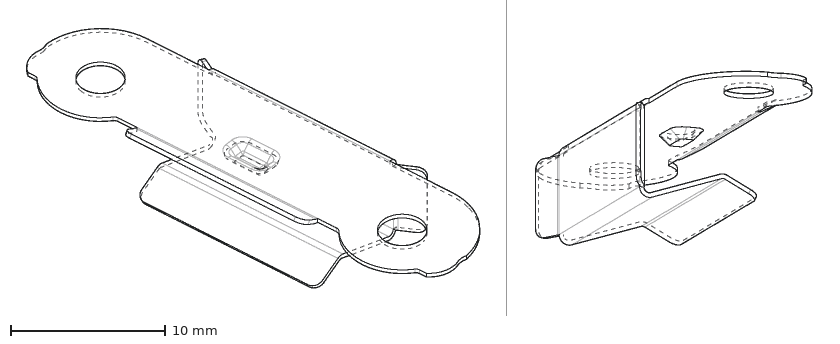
import cadquery as cq
import math

thickness = 0.3
bend_radius = 0.35
outer_bend_radius = bend_radius + thickness
corner_radius = 0.7

plate_half_length = 17.42
plate_back = 5.02
plate_front = -2.5
hole_x = 12.5
hole_diameter = 3.2
lobe_radius = 4.1
lobe_fillet = 0.4
shoulder_radius = 4.77
end_corner_radius = 2.05
end_corner_y = -0.8
dent_back = 0.52
dent_front = -0.42
dent_depth = 0.1

strip_half_width = 7.5
lip_angle = 28.0
lip_length = 1.45
wall_length = 5.25
leaf_rise_angle = 18.5
leaf_rise_length = 5.05
leaf_drop_angle = 27.0
leaf_drop_length = 2.5

tab_angle = 28.0
tab_length = 1.9

dimple_length = 3.28
dimple_width = 2.0
dimple_depth = 0.65
dimple_corner_radius = 0.7
dimple_rim_radius = 0.55
dimple_floor_radius = 0.35
dimple_wall_angle = 45.0


def across(point, direction, distance):
    """Move a point to the right of a travel direction given in radians."""
    x, y = point
    return (x + distance * math.sin(direction), y - distance * math.cos(direction))


def trace(profile, corners):
    """Extend a profile through (arc midpoint or None, end point) pairs."""
    for through, point in corners:
        profile = profile.threePointArc(through, point) if through else profile.lineTo(*point)
    return profile


def bent_sheet(plane, start, heading_angle, steps):
    """Return the closed profile of a bent sheet and the middle of its last edge.

    The path follows the left face of the sheet. Each step is ("straight", length) or
    ("bend", angle in degrees), with a positive angle turning left.
    """
    heading = math.radians(heading_angle)
    left_point = start
    right_point = across(start, heading, thickness)
    left_corners = []
    right_corners = []
    for kind, amount in steps:
        if kind == "straight":
            left_middle = None
            right_middle = None
            right_start = right_point
            left_point = across(left_point, heading + math.pi / 2, amount)
            right_point = across(right_point, heading + math.pi / 2, amount)
        else:
            left_radius = -bend_radius if amount > 0 else outer_bend_radius
            right_radius = left_radius - thickness
            center = across(left_point, heading, left_radius)
            middle_heading = heading + math.radians(amount) / 2
            heading += math.radians(amount)
            left_middle = across(center, middle_heading, -left_radius)
            right_middle = across(center, middle_heading, -right_radius)
            right_start = right_point
            left_point = across(center, heading, -left_radius)
            right_point = across(center, heading, -right_radius)
        left_corners.append((left_middle, left_point))
        right_corners.append((right_middle, right_start))

    profile = trace(cq.Workplane(plane).moveTo(*start), left_corners)
    profile = profile.lineTo(*right_point)
    profile = trace(profile, reversed(right_corners)).close()
    end_middle = across(left_point, heading, thickness / 2)
    return profile, end_middle


def round_end(body, end_point, width_axis):
    """Round the two free corners of the sheet end whose middle is end_point."""
    end_face = body.faces(cq.NearestToPointSelector(end_point))
    return end_face.edges("#" + width_axis).fillet(corner_radius)


def make_strip():
    lip_rad = math.radians(lip_angle)
    lip_start = (
        plate_front - bend_radius * math.sin(lip_rad) - lip_length * math.cos(lip_rad),
        bend_radius * (1 - math.cos(lip_rad)) + lip_length * math.sin(lip_rad),
    )
    profile, (leaf_end_y, leaf_end_z) = bent_sheet("YZ", lip_start, -lip_angle, [
        ("straight", lip_length),
        ("bend", lip_angle),
        ("straight", plate_back - plate_front),
        ("bend", -90),
        ("straight", wall_length),
        ("bend", -90 - leaf_rise_angle),
        ("straight", leaf_rise_length),
        ("bend", leaf_rise_angle + leaf_drop_angle),
        ("straight", leaf_drop_length),
    ])
    strip = profile.extrude(strip_half_width, both=True)
    lip_end_y, lip_end_z = across(lip_start, -lip_rad, thickness / 2)
    strip = round_end(strip, (0, lip_end_y, lip_end_z), "X")
    return round_end(strip, (0, leaf_end_y, leaf_end_z), "X")


def make_tab():
    wall_back = plate_back + outer_bend_radius
    wall_top = -outer_bend_radius
    profile, (tip_x, tip_y) = bent_sheet("XY", (0, wall_back), 0, [
        ("straight", strip_half_width),
        ("bend", tab_angle),
        ("straight", tab_length),
    ])
    tab = profile.extrude(-wall_length).translate((0, 0, wall_top))
    return round_end(tab, (tip_x, tip_y, wall_top - wall_length / 2), "Z")


def make_half_plate():
    """Right half of the mounting plate with its ear and hole."""
    shoulder_x = plate_half_length - shoulder_radius
    shoulder_y = plate_back - shoulder_radius
    corner_x = plate_half_length - end_corner_radius

    def shoulder_point(y):
        return (shoulder_x + math.sqrt(shoulder_radius ** 2 - (y - shoulder_y) ** 2), y)

    def corner_point(y):
        return (corner_x + math.sqrt(end_corner_radius ** 2 - (y - end_corner_y) ** 2), y)

    shoulder_middle = (
        shoulder_x + shoulder_radius * math.sqrt(0.5),
        shoulder_y + shoulder_radius * math.sqrt(0.5),
    )
    dent_bottom = (plate_half_length - dent_depth, (dent_back + dent_front) / 2)
    plate = (
        cq.Workplane("XY")
        .moveTo(0, plate_front)
        .lineTo(0, plate_back)
        .lineTo(shoulder_x, plate_back)
        .threePointArc(shoulder_middle, shoulder_point(dent_back))
        .threePointArc(dent_bottom, corner_point(dent_front))
        .threePointArc(corner_point(end_corner_y), corner_point(plate_front))
        .close()
        .extrude(-thickness)
    )
    lobe = cq.Workplane("XY").center(hole_x, 0).circle(lobe_radius).extrude(-thickness)
    plate = plate.union(lobe)
    lobe_half_chord = math.sqrt(lobe_radius ** 2 - plate_front ** 2)
    for side in (-1, 1):
        root = (hole_x + side * lobe_half_chord, plate_front, -thickness / 2)
        plate = plate.edges("|Z").edges(cq.NearestToPointSelector(root)).fillet(lobe_fillet)
    hole = cq.Workplane("XY").center(hole_x, 0).circle(hole_diameter / 2).extrude(-thickness)
    return plate.cut(hole)


def dimple_shape(top_z, growth):
    """Tapered rounded block whose top outline is grown outwards by the given amount."""
    outline = (
        cq.Sketch()
        .rect(dimple_length + 2 * growth, dimple_width + 2 * growth)
        .vertices()
        .fillet(dimple_corner_radius + growth)
    )
    return (
        cq.Workplane("XY", origin=(0, 0, top_z))
        .placeSketch(outline)
        .extrude(-dimple_depth, taper=dimple_wall_angle)
    )


def add_dimple(body):
    wall_growth = thickness * math.tan(math.radians(dimple_wall_angle / 2))
    body = body.union(dimple_shape(-thickness, wall_growth)).cut(dimple_shape(0, 0))
    rim_point = (0, dimple_width / 2, 0)
    body = body.edges(cq.NearestToPointSelector(rim_point)).fillet(dimple_rim_radius)
    floor = body.faces(cq.NearestToPointSelector((0, 0, -dimple_depth)))
    return floor.edges().fillet(dimple_floor_radius)


half_plate = make_half_plate()
tab = make_tab()
result = make_strip()
for half in (half_plate, tab):
    result = result.union(half).union(half.mirror("YZ"))
result = add_dimple(result.clean())